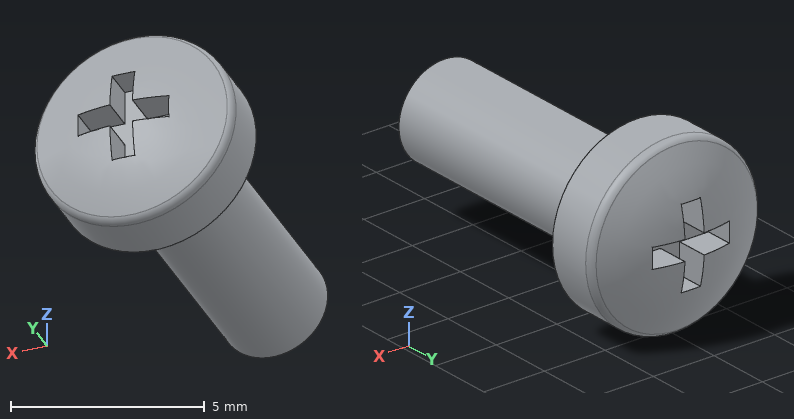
import cadquery as cq
import math

overall_length = 10.38
shank_diameter = 3.0
head_diameter = 5.6
head_height = 2.4
dome_radius = 5.0
rim_radius = 0.3
arm_width = 0.63
arm_span = 2.53
recess_depth = 1.04

head_radius = head_diameter / 2
dome_center = head_height - dome_radius


def dome_height(radius):
    """Height of the dome surface at a distance from the screw axis."""
    return dome_center + math.sqrt(dome_radius**2 - radius**2)


def make_head():
    """Revolved head: straight side, tangent rim rounding and spherical dome."""
    rim_x = head_radius - rim_radius
    center_distance = dome_radius - rim_radius
    rim_y = dome_center + math.sqrt(center_distance**2 - rim_x**2)
    tangent_x = rim_x * dome_radius / center_distance
    return (
        cq.Workplane("XY")
        .lineTo(head_radius, 0)
        .lineTo(head_radius, rim_y)
        .tangentArcPoint((tangent_x, dome_height(tangent_x)), relative=False)
        .tangentArcPoint((0, head_height), relative=False)
        .close()
        .revolve(360, (0, 0, 0), (0, 1, 0))
    )


def make_shank():
    corner_radius = arm_width / 2 * math.sqrt(2)
    shank_length = overall_length - dome_height(corner_radius)
    return cq.Workplane("XZ").circle(shank_diameter / 2).extrude(shank_length)


def make_recess():
    """Cross recess with one pair of arms along X and the other along Z."""
    floor = cq.Workplane("XZ", origin=(0, head_height - recess_depth, 0))
    arms_x = floor.rect(arm_span, arm_width).extrude(-recess_depth)
    arms_z = floor.rect(arm_width, arm_span).extrude(-recess_depth)
    return arms_x.union(arms_z)


result = make_head().union(make_shank()).cut(make_recess())